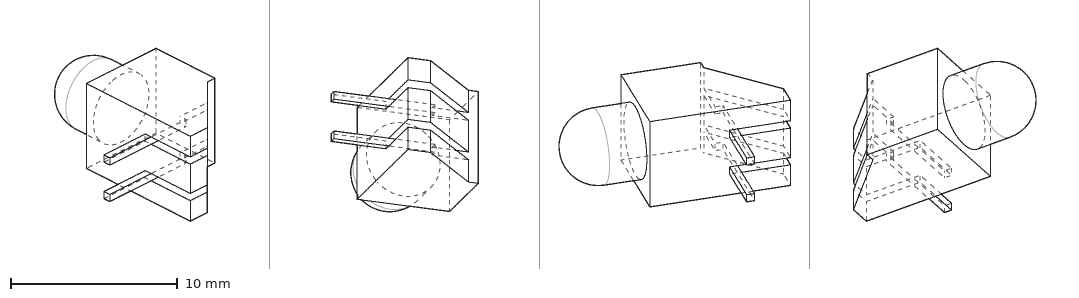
import cadquery as cq

total_length = 13.5
housing_size = 5.9
housing_length = 8.82

lens_radius = 2.35

back_cut_length = 3.82
back_step = 0.63

lead_width = 0.5
lead_pitch = 2.54
lead_reach = 3.5

housing_start = total_length - housing_length
slot_start = total_length - back_cut_length
half_size = housing_size / 2
lead_heights = (-lead_pitch / 2, lead_pitch / 2)


def make_housing():
    """Square block with a sloped back corner, extruded along Z."""
    return (
        cq.Workplane("XY")
        .moveTo(housing_start, -half_size)
        .lineTo(total_length, -half_size)
        .lineTo(total_length, half_size - back_step - back_cut_length)
        .lineTo(slot_start, half_size - back_step)
        .lineTo(slot_start, half_size)
        .lineTo(housing_start, half_size)
        .close()
        .extrude(half_size, both=True)
    )


def make_lens():
    """Half profile of the lens, revolved about the X axis."""
    arc_drop = lens_radius / 2 ** 0.5
    return (
        cq.Workplane("XY")
        .moveTo(0, 0)
        .threePointArc((lens_radius - arc_drop, arc_drop), (lens_radius, lens_radius))
        .lineTo(housing_start, lens_radius)
        .lineTo(housing_start, 0)
        .close()
        .revolve(360, (0, 0, 0), (1, 0, 0))
    )


def make_slot(height):
    """Slot open at the back end, passing through the housing along Y."""
    return (
        cq.Workplane("XY")
        .box(back_cut_length, housing_size, lead_width, centered=(False, True, True))
        .translate((slot_start, 0, height))
    )


def make_lead(height):
    """Square lead against the slot floor, from the LED axis out past the housing."""
    return (
        cq.Workplane("XY")
        .box(lead_width, half_size + lead_reach, lead_width, centered=(False, False, True))
        .translate((slot_start, -half_size - lead_reach, height))
    )


result = make_housing().union(make_lens())
for lead_height in lead_heights:
    result = result.cut(make_slot(lead_height)).union(make_lead(lead_height))